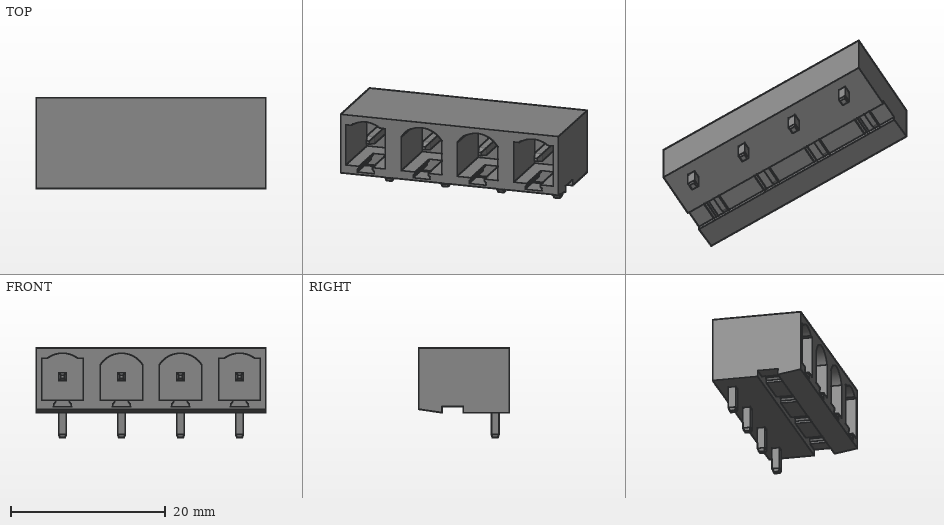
import cadquery as cq
import math


pin_count = 4
pitch = 7.62
pin_positions = [(i - (pin_count - 1) / 2) * pitch for i in range(pin_count)]

end_margin = 3.4
housing_length = (pin_count - 1) * pitch + 2 * end_margin
housing_depth = 11.75
housing_height = 8.4
front_y = -housing_depth / 2
back_y = housing_depth / 2

notch_height = 0.8
notch_back_y = back_y - 6.0
notch_front_y = notch_back_y - 2.7
lip_rise = 0.45

socket_depth = 8.5
socket_floor_z = 1.6
socket_top_z = 7.7
crown_radius = 3.25
crown_center_z = socket_top_z - crown_radius
inner_socket_width = 5.55
end_socket_width = 5.35
shoulder_z = 7.05

groove_floor_z = notch_height
groove_length = notch_back_y - front_y
groove_mouth_width = 1.8
groove_floor_width = 2.3
groove_mouth_z = 1.4
groove_flare_z = 1.1

pin_width = 1.0
pin_axis_z = 4.65
pin_tip_y = front_y + 0.9
pin_tip_width = 0.4
pin_taper_length = 1.2
leg_y = back_y - 1.85
leg_length = 3.2
leg_tip_width = 0.7
leg_taper_length = 0.4


def crown_height(half_width):
    """Z of the crown arc at a given distance from the middle of a socket."""
    return crown_center_z + math.sqrt(crown_radius**2 - half_width**2)


def crown_half_width(z):
    """Half the width of the crown arc at a given Z."""
    return math.sqrt(crown_radius**2 - (z - crown_center_z) ** 2)


def front_plane(x):
    """XZ plane on the front face at one way; extruding by a negative length goes into the housing."""
    return cq.Workplane("XZ", origin=(x, front_y, 0))


def inner_socket(x):
    """Socket whose side walls run up to a round crown."""
    half = inner_socket_width / 2
    spring_z = crown_height(half)
    return (
        front_plane(x)
        .moveTo(-half, socket_floor_z)
        .lineTo(half, socket_floor_z)
        .lineTo(half, spring_z)
        .threePointArc((0, socket_top_z), (-half, spring_z))
        .close()
        .extrude(-socket_depth)
    )


def end_socket(x):
    """Socket with flat shoulders on both sides of its crown."""
    half = end_socket_width / 2
    crown_half = crown_half_width(shoulder_z)
    return (
        front_plane(x)
        .moveTo(-half, socket_floor_z)
        .lineTo(half, socket_floor_z)
        .lineTo(half, shoulder_z)
        .lineTo(crown_half, shoulder_z)
        .threePointArc((0, socket_top_z), (-crown_half, shoulder_z))
        .lineTo(-half, shoulder_z)
        .close()
        .extrude(-socket_depth)
    )


def dovetail_groove(x):
    mouth_half = groove_mouth_width / 2
    floor_half = groove_floor_width / 2
    return (
        front_plane(x)
        .moveTo(-mouth_half, socket_floor_z)
        .lineTo(-mouth_half, groove_mouth_z)
        .lineTo(-floor_half, groove_flare_z)
        .lineTo(-floor_half, groove_floor_z)
        .lineTo(floor_half, groove_floor_z)
        .lineTo(floor_half, groove_flare_z)
        .lineTo(mouth_half, groove_mouth_z)
        .lineTo(mouth_half, socket_floor_z)
        .close()
        .extrude(-groove_length)
    )


def tapered_tip(base_plane, tip_width, length):
    """Square frustum on a base plane, narrowing along the plane's normal."""
    return (
        cq.Workplane(base_plane)
        .rect(pin_width, pin_width)
        .workplane(offset=length)
        .rect(tip_width, tip_width)
        .loft(ruled=True)
    )


def make_pin(x):
    """Square L-shaped pin: a contact pointing to the front and a leg pointing down."""
    half = pin_width / 2
    taper_start_y = pin_tip_y + pin_taper_length
    taper_start_z = leg_taper_length - leg_length
    bend = (
        cq.Workplane("YZ", origin=(x, 0, 0))
        .moveTo(taper_start_y, pin_axis_z + half)
        .lineTo(leg_y + half, pin_axis_z + half)
        .lineTo(leg_y + half, taper_start_z)
        .lineTo(leg_y - half, taper_start_z)
        .lineTo(leg_y - half, pin_axis_z - half)
        .lineTo(taper_start_y, pin_axis_z - half)
        .close()
        .extrude(half, both=True)
    )
    contact_base = cq.Plane(origin=(x, taper_start_y, pin_axis_z), xDir=(1, 0, 0), normal=(0, -1, 0))
    leg_base = cq.Plane(origin=(x, leg_y, taper_start_z), xDir=(1, 0, 0), normal=(0, 0, -1))
    contact_tip = tapered_tip(contact_base, pin_tip_width, pin_taper_length)
    leg_tip = tapered_tip(leg_base, leg_tip_width, leg_taper_length)
    return bend.union(contact_tip).union(leg_tip)


def housing_block():
    """Side profile with the underside notch and sloped lip, extruded along the row."""
    return (
        cq.Workplane("YZ")
        .moveTo(back_y, 0)
        .lineTo(back_y, housing_height)
        .lineTo(front_y, housing_height)
        .lineTo(front_y, lip_rise)
        .lineTo(notch_front_y, 0)
        .lineTo(notch_front_y, notch_height)
        .lineTo(notch_back_y, notch_height)
        .lineTo(notch_back_y, 0)
        .close()
        .extrude(housing_length / 2, both=True)
    )


def make_housing(pins):
    housing = housing_block()
    end_positions = (pin_positions[0], pin_positions[-1])
    for x in pin_positions:
        socket = end_socket(x) if x in end_positions else inner_socket(x)
        housing = housing.cut(socket).cut(dovetail_groove(x))
    for pin in pins:
        housing = housing.cut(pin)
    return housing


pins = [make_pin(x) for x in pin_positions]
housing = make_housing(pins)

result = cq.Compound.makeCompound([solid for body in (housing, *pins) for solid in body.solids().vals()])